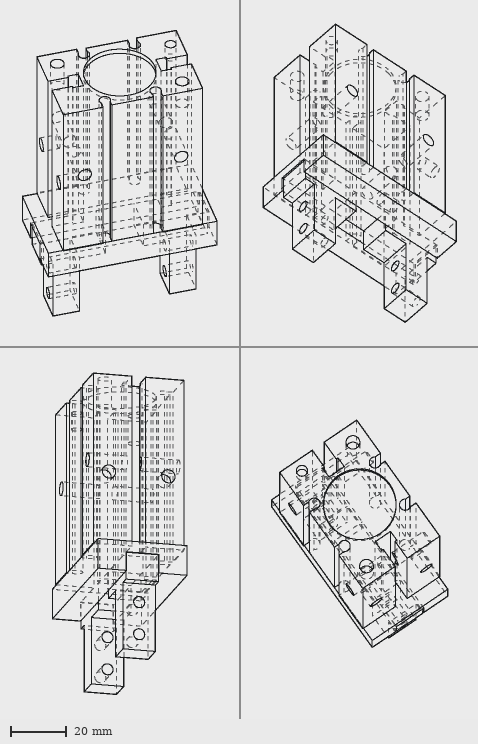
import cadquery as cq


TOTAL_HEIGHT = 102.7
BLOCK_BOTTOM = 39.0
PLATE_BOTTOM = 27.9
GUIDE_TOP = 34.9
FOOT_BOTTOM = 24.9

BLOCK_WIDTH = 33.6
BLOCK_LENGTH = 52.0
PANEL_WIDTH = 32.9
PLATE_WIDTH = 33.0
PLATE_LENGTH = 63.0
BLOCK_HEIGHT = TOTAL_HEIGHT - BLOCK_BOTTOM

T_NECK_WIDTH = 5.1
T_HEAD_WIDTH = 6.7
T_HEAD_OUTER_Y = 18.4
T_FLOOR_Y = 14.5

GROOVE_Y = 9.4
GROOVE_NECK_WIDTH = 3.3
GROOVE_DIAMETER = 4.1
GROOVE_CENTRE_X = 13.2

RECESS_DIAMETER = 26.0
RECESS_DEPTH = 2.0

BOLT_DIAMETER = 4.9
TOP_BOLT_X = 11.0
TOP_BOLT_Y = 20.0
TOP_BOLT_DEPTH = 10.3
DOWEL_DIAMETER = 4.0
DOWEL_X = -10.0
DOWEL_Y = 21.9
DOWEL_DEPTH = 6.2
CROSS_HOLE_Y = 18.0
CROSS_HOLE_Z = 72.6
PORT_X = 11.0
PORT_Z = 66.2
PORT_DEPTH = 6.2

JAW_WIDTH = 12.0
FOOT_LENGTH = 23.8
FOOT_OUTER_Y = 30.9
LEG_LENGTH = 10.0
LEG_OUTER_Y = 26.7
JAW_HOLE_DIAMETER = 4.1
JAW_HOLE_HEIGHTS = (6.0, 18.0)

SIDES = (-1, 1)


def box(width, length, bottom, top, x=0, y=0):
    """Upright box centred on (x, y) between two heights."""
    return cq.Workplane("XY", origin=(x, y, bottom)).rect(width, length).extrude(top - bottom)


def top_hole(x, y, diameter, depth):
    """Blind hole drilled down from the top face."""
    return cq.Workplane("XY", origin=(x, y, TOTAL_HEIGHT)).circle(diameter / 2).extrude(-depth)


def t_slot(side):
    """T-slot over the full block height, open to the front (-1) or back (+1) face."""
    neck_length = BLOCK_LENGTH / 2 - T_FLOOR_Y
    head_length = T_HEAD_OUTER_Y - T_FLOOR_Y
    neck_y = side * (T_FLOOR_Y + neck_length / 2)
    head_y = side * (T_FLOOR_Y + head_length / 2)
    neck = box(T_NECK_WIDTH, neck_length, BLOCK_BOTTOM, TOTAL_HEIGHT, y=neck_y)
    head = box(T_HEAD_WIDTH, head_length, BLOCK_BOTTOM, TOTAL_HEIGHT, y=head_y)
    return neck.union(head)


def side_groove(side, y):
    """Round-bottomed groove with a narrower mouth, open to the side at -X or +X."""
    neck_length = BLOCK_WIDTH / 2 - GROOVE_CENTRE_X
    neck_x = side * (GROOVE_CENTRE_X + neck_length / 2)
    neck = box(neck_length, GROOVE_NECK_WIDTH, BLOCK_BOTTOM, TOTAL_HEIGHT, neck_x, y)
    bore = top_hole(side * GROOVE_CENTRE_X, y, GROOVE_DIAMETER, BLOCK_HEIGHT)
    return neck.union(bore)


def make_block():
    """Plain block, slightly narrower between the side grooves."""
    block = box(BLOCK_WIDTH, BLOCK_LENGTH, BLOCK_BOTTOM, TOTAL_HEIGHT)
    relief_depth = (BLOCK_WIDTH - PANEL_WIDTH) / 2
    relief_length = 2 * GROOVE_Y + GROOVE_NECK_WIDTH
    relief_x = (BLOCK_WIDTH - relief_depth) / 2
    for side in SIDES:
        block = block.cut(
            box(relief_depth, relief_length, BLOCK_BOTTOM, TOTAL_HEIGHT, side * relief_x)
        )
    return block


def make_housing():
    housing = make_block()

    for side in SIDES:
        housing = housing.cut(t_slot(side))
        for groove_side in SIDES:
            housing = housing.cut(side_groove(side, groove_side * GROOVE_Y))

    housing = housing.union(box(PLATE_WIDTH, PLATE_LENGTH, PLATE_BOTTOM, BLOCK_BOTTOM))
    housing = housing.cut(box(JAW_WIDTH, PLATE_LENGTH, PLATE_BOTTOM, GUIDE_TOP))

    for side in SIDES:
        housing = housing.cut(
            top_hole(side * TOP_BOLT_X, side * TOP_BOLT_Y, BOLT_DIAMETER, TOP_BOLT_DEPTH)
        )
    housing = housing.cut(top_hole(DOWEL_X, DOWEL_Y, DOWEL_DIAMETER, DOWEL_DEPTH))
    housing = housing.cut(top_hole(0, 0, RECESS_DIAMETER, RECESS_DEPTH))

    for side in SIDES:
        cross_hole = (
            cq.Workplane("YZ", origin=(-BLOCK_WIDTH / 2, side * CROSS_HOLE_Y, CROSS_HOLE_Z))
            .circle(BOLT_DIAMETER / 2)
            .extrude(BLOCK_WIDTH)
        )
        port = (
            cq.Workplane("XZ", origin=(side * PORT_X, -BLOCK_LENGTH / 2, PORT_Z))
            .circle(BOLT_DIAMETER / 2)
            .extrude(-PORT_DEPTH)
        )
        housing = housing.cut(cross_hole).cut(port)
    return housing


def make_jaw(side):
    """Jaw at the front (-1) or back (+1): a foot in the guide slot and a leg with two holes."""
    foot_y = side * (FOOT_OUTER_Y - FOOT_LENGTH / 2)
    leg_y = side * (LEG_OUTER_Y - LEG_LENGTH / 2)
    foot = box(JAW_WIDTH, FOOT_LENGTH, FOOT_BOTTOM, GUIDE_TOP, y=foot_y)
    leg = box(JAW_WIDTH, LEG_LENGTH, 0, FOOT_BOTTOM, y=leg_y)
    jaw = foot.union(leg)
    for height in JAW_HOLE_HEIGHTS:
        hole = (
            cq.Workplane("XZ", origin=(0, leg_y, height))
            .circle(JAW_HOLE_DIAMETER / 2)
            .extrude(LEG_LENGTH / 2, both=True)
        )
        jaw = jaw.cut(hole)
    return jaw


housing = make_housing()
jaws = [make_jaw(side) for side in SIDES]

result = cq.Compound.makeCompound([housing.val(), *[jaw.val() for jaw in jaws]])